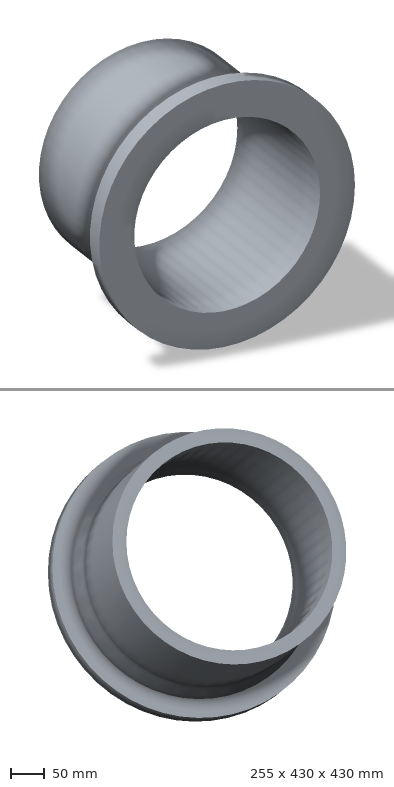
import cadquery as cq

total_length = 255.0
flange_thickness = 29.2
taper_length = 47.5
flange_diameter = 430.0
taper_diameter = 373.2
pipe_diameter = 355.0
bore_diameter = 312.5

flange_start = total_length - flange_thickness
taper_start = flange_start - taper_length

wall_profile = (
    cq.Workplane("XY")
    .moveTo(0, bore_diameter / 2)
    .lineTo(0, pipe_diameter / 2)
    .lineTo(taper_start, pipe_diameter / 2)
    .lineTo(flange_start, taper_diameter / 2)
    .lineTo(flange_start, flange_diameter / 2)
    .lineTo(total_length, flange_diameter / 2)
    .lineTo(total_length, bore_diameter / 2)
    .close()
)

result = wall_profile.revolve(360, (0, 0, 0), (1, 0, 0))